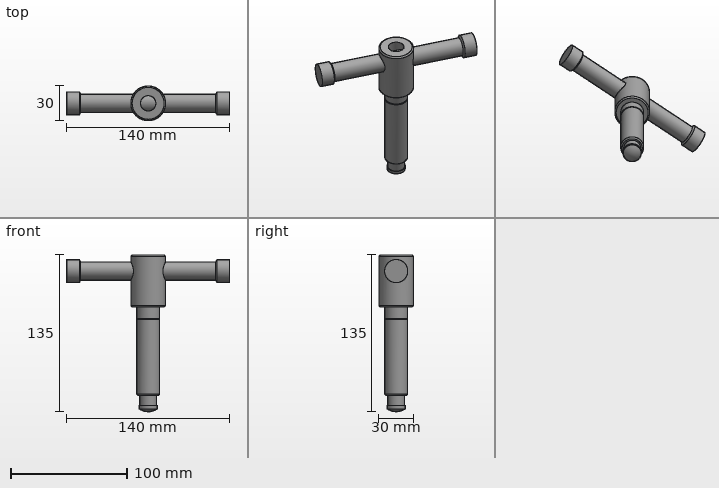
import cadquery as cq

overall_length = 140.0
overall_height = 135.0

head_radius = 15.0
head_height = 45.0
head_chamfer = 1.3
shank_radius = 10.0
neck_length = 9.7
groove_depth = 0.1
groove_width = 0.8
shank_bottom = -121.0
shank_chamfer = 1.3
tip_neck_radius = 7.3
tip_radius = 7.8
tip_collar_top = -129.6
tip_dome_height = 2.7
head_hole_radius = 6.6

bar_axis_z = -14.0
bar_radius = 8.0
knob_radius = 10.0
knob_length = 12.0
knob_taper_length = 1.3


def make_spindle():
    """Turn the head, shank and domed tip, then open the bar bore and the top hole."""
    head_bottom = -head_height
    groove_top = head_bottom - neck_length
    groove_bottom = groove_top - groove_width
    groove_radius = shank_radius - groove_depth
    dome_bottom = -overall_height
    dome_top = dome_bottom + tip_dome_height
    dome_radius = (tip_radius**2 + tip_dome_height**2) / (2 * tip_dome_height)
    dome_mid_x = tip_radius / 2
    dome_mid_z = dome_bottom + dome_radius - (dome_radius**2 - dome_mid_x**2) ** 0.5

    spindle = (
        cq.Workplane("XZ")
        .moveTo(0, 0)
        .lineTo(head_radius - head_chamfer, 0)
        .lineTo(head_radius, -head_chamfer)
        .lineTo(head_radius, head_bottom + head_chamfer)
        .lineTo(head_radius - head_chamfer, head_bottom)
        .lineTo(shank_radius, head_bottom)
        .lineTo(shank_radius, groove_top)
        .lineTo(groove_radius, groove_top)
        .lineTo(groove_radius, groove_bottom)
        .lineTo(shank_radius, groove_bottom)
        .lineTo(shank_radius, shank_bottom + shank_chamfer)
        .lineTo(shank_radius - shank_chamfer, shank_bottom)
        .lineTo(tip_neck_radius, shank_bottom)
        .lineTo(tip_neck_radius, tip_collar_top)
        .lineTo(tip_radius, tip_collar_top)
        .lineTo(tip_radius, dome_top)
        .threePointArc((dome_mid_x, dome_mid_z), (0, dome_bottom))
        .close()
        .revolve(360, (0, 0), (0, 1))
    )
    bar_bore = (
        cq.Workplane("YZ")
        .center(0, bar_axis_z)
        .circle(bar_radius)
        .extrude(head_radius, both=True)
    )
    top_hole = cq.Workplane("XY").circle(head_hole_radius).extrude(bar_axis_z)
    return spindle.cut(bar_bore).cut(top_hole)


def make_handle():
    """Turn the bar and both knobs about the bar axis."""
    half_length = overall_length / 2
    knob_inner_x = half_length - knob_length
    knob_rim_x = knob_inner_x + knob_taper_length
    return (
        cq.Workplane("XZ", origin=(0, 0, bar_axis_z))
        .moveTo(-half_length, 0)
        .lineTo(-half_length, knob_radius)
        .lineTo(-knob_rim_x, knob_radius)
        .lineTo(-knob_inner_x, bar_radius)
        .lineTo(knob_inner_x, bar_radius)
        .lineTo(knob_rim_x, knob_radius)
        .lineTo(half_length, knob_radius)
        .lineTo(half_length, 0)
        .close()
        .revolve(360, (0, 0), (1, 0))
    )


spindle = make_spindle()
handle = make_handle()
result = cq.Compound.makeCompound([spindle.val(), handle.val()])